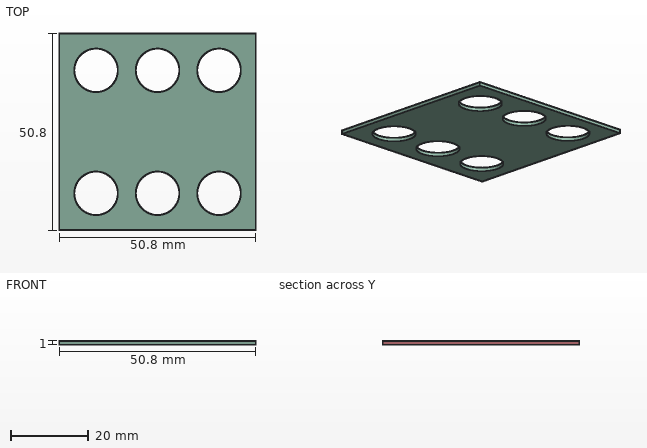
import cadquery as cq

plate_side = 50.8
plate_thickness = 1.0

hole_diameter = 11.18
columns = 3
rows = 2
column_pitch = 15.875
row_pitch = 2 * column_pitch


def make_plate():
    """Flat square plate resting on Z = 0, centred on the Z axis."""
    return cq.Workplane("XY").box(
        plate_side, plate_side, plate_thickness, centered=(True, True, False)
    )


def cut_holes(plate):
    """Cut the centred grid of through holes."""
    return (
        plate.faces(">Z")
        .workplane()
        .rarray(column_pitch, row_pitch, columns, rows)
        .hole(hole_diameter)
    )


result = cut_holes(make_plate())